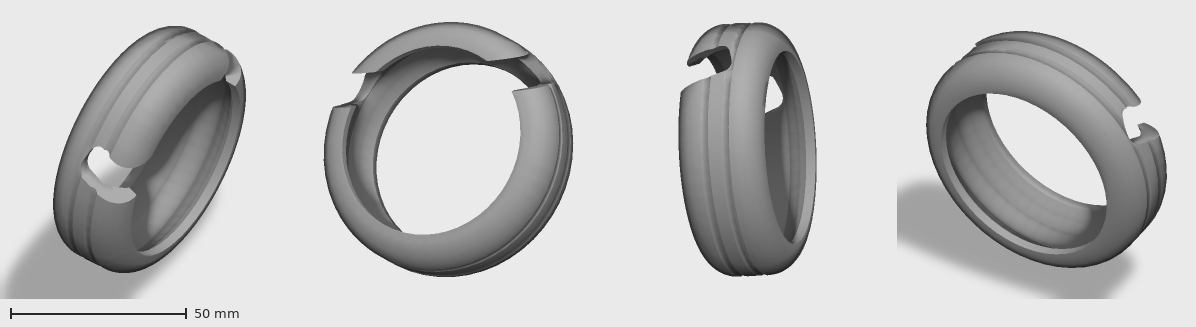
import cadquery as cq
import math

width = 25.0
outer_radius = 72 / 2
rim_bore_radius = 55.0 / 2
cavity_radius = 65.0 / 2
half_width = width / 2

shoulder_radius = 8.2
groove_outer_x = half_width - shoulder_radius
groove_inner_x = 1.9
groove_depth = 0.6

cavity_half_width = 3.7
lip_width = 2.75
flank_bulge = 0.4

slot_angle = 20
slot_width = 9.0
slot_length = 16.05
slot_corner_radius = 2.95
slot_mouth_z = 16.7


def ring_profile():
    """Half section of the ring, with its radius along Y."""
    shoulder_start_radius = outer_radius - shoulder_radius
    diagonal = shoulder_radius * math.sqrt(0.5)
    shoulder_mid_x = groove_outer_x + diagonal
    shoulder_mid_radius = shoulder_start_radius + diagonal
    groove_mid_x = (groove_outer_x + groove_inner_x) / 2
    groove_floor_radius = outer_radius - groove_depth

    lip_x = half_width - lip_width
    flank_run = lip_x - cavity_half_width
    flank_drop = cavity_radius - rim_bore_radius
    flank_chord = math.hypot(flank_run, flank_drop)
    flank_mid_x = (lip_x + cavity_half_width) / 2 + flank_bulge * flank_drop / flank_chord
    flank_mid_radius = (cavity_radius + rim_bore_radius) / 2 + flank_bulge * flank_run / flank_chord

    return (
        cq.Workplane("XY")
        .moveTo(-half_width, rim_bore_radius)
        .lineTo(-half_width, shoulder_start_radius)
        .threePointArc((-shoulder_mid_x, shoulder_mid_radius), (-groove_outer_x, outer_radius))
        .threePointArc((-groove_mid_x, groove_floor_radius), (-groove_inner_x, outer_radius))
        .lineTo(groove_inner_x, outer_radius)
        .threePointArc((groove_mid_x, groove_floor_radius), (groove_outer_x, outer_radius))
        .threePointArc((shoulder_mid_x, shoulder_mid_radius), (half_width, shoulder_start_radius))
        .lineTo(half_width, rim_bore_radius)
        .lineTo(lip_x, rim_bore_radius)
        .threePointArc((flank_mid_x, flank_mid_radius), (cavity_half_width, cavity_radius))
        .lineTo(-cavity_half_width, cavity_radius)
        .threePointArc((-flank_mid_x, flank_mid_radius), (-lip_x, rim_bore_radius))
        .close()
    )


def slot_cutter():
    """Slot with a round-cornered end, open at the +X rim and rising toward -X."""
    overrun = slot_width
    return (
        cq.Workplane("XY")
        .box(slot_length + overrun, 2 * outer_radius, slot_width)
        .edges("<X and |Y")
        .fillet(slot_corner_radius)
        .translate(((overrun - slot_length) / 2, 0, 0))
        .rotate((0, 0, 0), (0, 1, 0), slot_angle)
        .translate((half_width, 0, slot_mouth_z))
    )


ring = ring_profile().revolve(360, (0, 0, 0), (1, 0, 0))
result = ring.cut(slot_cutter())